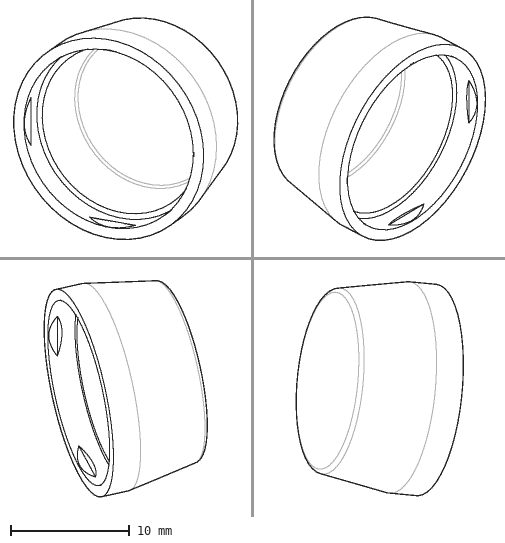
import cadquery as cq
import math

RIM_DIAMETER = 17.91
CAP_LENGTH = 8.86
RIM_LENGTH = 2.42
OUTER_TAPER = 10.0
EDGE_ROUNDING = 0.4

MOUTH_RADIUS = 7.98
MOUTH_DEPTH = 2.42
LEDGE_RADIUS = 7.47
INNER_TAPER = 6.4
FLOOR_DEPTH = 7.6
FLOOR_ROUNDING = 0.22

RIDGE_COUNT = 4
RIDGE_HEIGHT = 0.3
RIDGE_CREST = 0.75
RIDGE_LEAD_IN = 0.66
RIDGE_BACK = 0.52
RIDGE_ROOT = 0.15
RIDGE_HALF_WIDTH = 3.0


def cylinder(radius, length):
    """Cylinder on the Y axis from the mouth plane inwards."""
    return cq.Workplane("XZ").circle(radius).extrude(-length)


def rounded_cone(start_radius, start, end, taper, rounding):
    """Cone on the Y axis, narrowing towards +Y, with its +Y edge rounded."""
    end_radius = start_radius - (end - start) * math.tan(math.radians(taper))
    profile = [(start, 0), (end, 0), (end, end_radius), (start, start_radius)]
    cone = cq.Workplane("YZ").polyline(profile).close()
    cone = cone.revolve(360, (0, 0, 0), (1, 0, 0))
    return cone.faces(">Y").edges().fillet(rounding)


def cap_body():
    rim_radius = RIM_DIAMETER / 2
    rim = cylinder(rim_radius, RIM_LENGTH)
    return rim.union(rounded_cone(rim_radius, RIM_LENGTH, CAP_LENGTH, OUTER_TAPER, EDGE_ROUNDING))


def cavity():
    mouth = cylinder(MOUTH_RADIUS, MOUTH_DEPTH)
    return mouth.union(
        rounded_cone(LEDGE_RADIUS, MOUTH_DEPTH, FLOOR_DEPTH, INNER_TAPER, FLOOR_ROUNDING)
    )


def snap_ridge():
    """Straight ridge of triangular section whose ends run out into the round wall."""
    crest_radius = MOUTH_RADIUS - RIDGE_HEIGHT
    root_radius = MOUTH_RADIUS + RIDGE_ROOT
    root_scale = (RIDGE_HEIGHT + RIDGE_ROOT) / RIDGE_HEIGHT
    section = [
        (root_radius, RIDGE_CREST - RIDGE_LEAD_IN * root_scale),
        (crest_radius, RIDGE_CREST),
        (root_radius, RIDGE_CREST + RIDGE_BACK * root_scale),
    ]
    ridge = cq.Workplane("XY").polyline(section).close().extrude(RIDGE_HALF_WIDTH, both=True)
    return ridge.intersect(cylinder(root_radius, MOUTH_DEPTH))


result = cap_body().cut(cavity())
for index in range(RIDGE_COUNT):
    angle = index * 360 / RIDGE_COUNT
    result = result.union(snap_ridge().rotate((0, 0, 0), (0, 1, 0), angle))